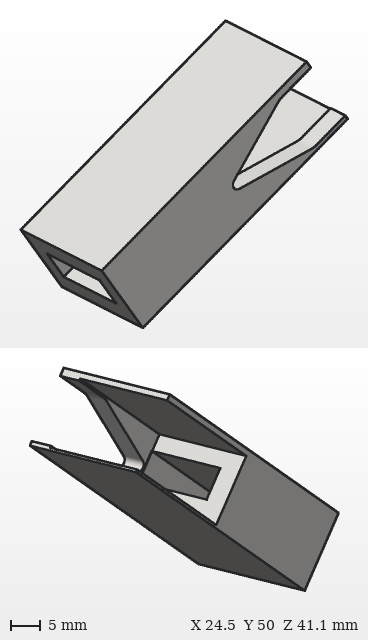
import cadquery as cq
import math

width = 24.5
tilt = 35

span_y = 49.95
span_z = 41.05
tilt_sin = math.sin(math.radians(tilt))
tilt_cos = math.cos(math.radians(tilt))
length = (span_y * tilt_cos - span_z * tilt_sin) / (tilt_cos**2 - tilt_sin**2)
height = (span_z * tilt_cos - span_y * tilt_sin) / (tilt_cos**2 - tilt_sin**2)

front_block_length = 26.95
recess_width = 20.1
bottom_plate = 0.5
top_plate = 1.15

lip_bottom = 0.85
lip_top = 13.05
lip_start = 43.0
notch_half_angle = 18.9
notch_tip_radius = 1.05
lip_blend_radius = 3.25

passage_width = 15.9
passage_height = 5.9
passage_center_height = 7.35


def box(x, y, z, size_x, size_y, size_z):
    """Box with its lowest corner at (x, y, z)."""
    return cq.Workplane("XY").box(size_x, size_y, size_z, centered=False).translate((x, y, z))


def rear_recess():
    return box(
        -width / 2, front_block_length, bottom_plate,
        recess_width, length - front_block_length, height - bottom_plate - top_plate,
    )


def v_notch():
    middle = (lip_bottom + lip_top) / 2
    half_opening = (lip_top - lip_bottom) / 2
    sharp_tip = lip_start - half_opening / math.tan(math.radians(notch_half_angle))
    notch = (
        cq.Workplane("YZ")
        .moveTo(length, lip_top)
        .lineTo(lip_start, lip_top)
        .lineTo(sharp_tip, middle)
        .lineTo(lip_start, lip_bottom)
        .lineTo(length, lip_bottom)
        .close()
        .extrude(width / 2)
    )
    notch = notch.edges("|X and <Y").fillet(notch_tip_radius)
    for lip_height in (lip_bottom, lip_top):
        corner = cq.NearestToPointSelector((width / 4, lip_start, lip_height))
        notch = notch.edges("|X").edges(corner).fillet(lip_blend_radius)
    return notch


def front_passage():
    return box(
        -passage_width / 2, 0, passage_center_height - passage_height / 2,
        passage_width, front_block_length, passage_height,
    )


block = box(-width / 2, 0, 0, width, length, height)
block = block.cut(rear_recess()).cut(v_notch()).cut(front_passage())
result = block.rotate((0, 0, 0), (1, 0, 0), tilt)